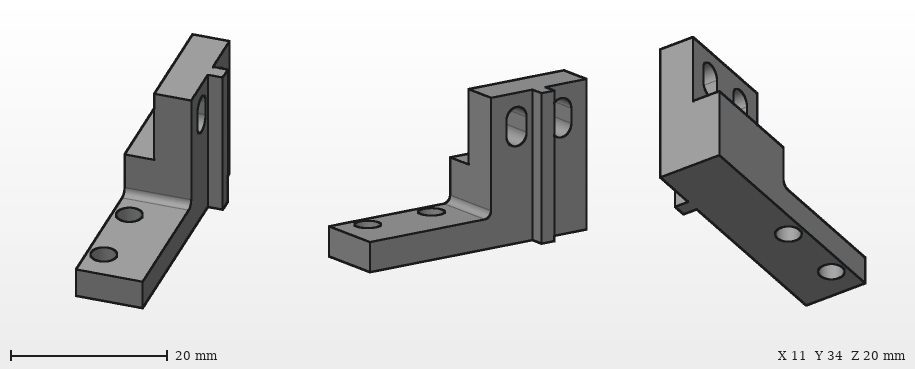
import cadquery as cq

length = 34.0
body_width = 9.0
height = 20.0

block_length = 15.0
step_width = 4.0
step_height = height / 2
block_front = length - block_length
block_middle = length - block_length / 2

foot_thickness = 4.0
fillet_radius = 1.0

key_size = 2.0

hole_diameter = 3.4
hole_x = 2.2
hole_spacing = 10.0
hole_setback = 4.5

slot_width = 3.2
slot_height = 5.2
slot_spacing = 7.0
slot_drop = 4.5


def make_body():
    """L-shaped side profile with a rounded inner corner and a step cut from the block."""
    profile = (
        cq.Workplane("YZ")
        .moveTo(0, 0)
        .lineTo(length, 0)
        .lineTo(length, height)
        .lineTo(block_front, height)
        .lineTo(block_front, foot_thickness + fillet_radius)
        .radiusArc((block_front - fillet_radius, foot_thickness), fillet_radius)
        .lineTo(0, foot_thickness)
        .close()
    )
    step = (
        cq.Workplane("XY")
        .box(step_width, block_length, height - step_height, centered=False)
        .translate((0, block_front, step_height))
    )
    return profile.extrude(body_width).cut(step)


def make_key():
    """Square key running the full height, centred along the block."""
    return (
        cq.Workplane("XY")
        .center(body_width + key_size / 2, block_middle)
        .rect(key_size, key_size)
        .extrude(height)
    )


def make_foot_holes():
    first_hole_y = block_front - hole_setback
    return (
        cq.Workplane("XY")
        .pushPoints([(hole_x, first_hole_y), (hole_x, first_hole_y - hole_spacing)])
        .circle(hole_diameter / 2)
        .extrude(foot_thickness)
    )


def make_wall_slots():
    return (
        cq.Workplane("YZ")
        .center(block_middle, height - slot_drop)
        .pushPoints([(-slot_spacing / 2, 0), (slot_spacing / 2, 0)])
        .slot2D(slot_height, slot_width, 90)
        .extrude(body_width)
    )


result = make_body().union(make_key()).cut(make_foot_holes()).cut(make_wall_slots())